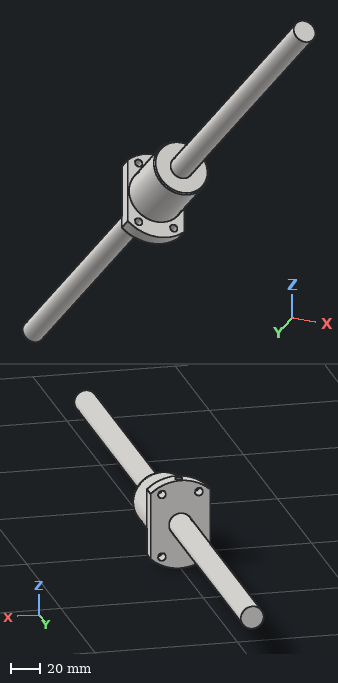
import cadquery as cq
import math

shaft_length = 489.0
shaft_diameter = 16.0

barrel_diameter = 40.0
barrel_chamfer = 1.0
nut_front_y = -22.5
nut_length = 56.0
flange_thickness = 11.0
flange_diameter = 63.0
flange_width = 42.0
nut_back_y = nut_front_y + nut_length
flange_front_y = nut_back_y - flange_thickness

bolt_circle_diameter = 52.0
bolt_hole_diameter = 5.5
bolt_angles = (60, 120, 240, 300)

oil_port_diameter = 5.0
oil_port_depth = 6.0
oil_passage_diameter = 2.0
oil_port_y = nut_back_y - flange_thickness / 2


def cylinder_along_y(diameter, start_y, length, x=0.0, z=0.0):
    """Cylinder that starts at start_y and runs toward +Y."""
    return cq.Workplane(
        cq.Solid.makeCylinder(
            diameter / 2, length, cq.Vector(x, start_y, z), cq.Vector(0, 1, 0)
        )
    )


def make_shaft():
    return cylinder_along_y(shaft_diameter, -shaft_length / 2, shaft_length)


def make_flange():
    """Disc cut by two flats parallel to Z."""
    disc = cylinder_along_y(flange_diameter, flange_front_y, flange_thickness)
    flats = cq.Workplane("XY").box(flange_width, flange_thickness, flange_diameter)
    flange_centre_y = flange_front_y + flange_thickness / 2
    return disc.intersect(flats.translate((0, flange_centre_y, 0)))


def make_bolt_hole(angle):
    x = bolt_circle_diameter / 2 * math.cos(math.radians(angle))
    z = bolt_circle_diameter / 2 * math.sin(math.radians(angle))
    return cylinder_along_y(bolt_hole_diameter, flange_front_y, flange_thickness, x, z)


def make_oil_port():
    """Wide port at the top, continued by the passage down to the nut axis."""
    flange_top_z = flange_diameter / 2
    port = cq.Solid.makeCylinder(
        oil_port_diameter / 2,
        oil_port_depth,
        cq.Vector(0, oil_port_y, flange_top_z - oil_port_depth),
    )
    passage = cq.Solid.makeCylinder(
        oil_passage_diameter / 2, flange_top_z, cq.Vector(0, oil_port_y, 0)
    )
    return cq.Workplane(port).union(cq.Workplane(passage))


def make_nut():
    barrel = cylinder_along_y(barrel_diameter, nut_front_y, nut_length)
    barrel = barrel.faces("<Y").chamfer(barrel_chamfer)
    nut = barrel.union(make_flange())
    for angle in bolt_angles:
        nut = nut.cut(make_bolt_hole(angle))
    nut = nut.cut(make_oil_port())
    shaft_bore = cylinder_along_y(shaft_diameter, nut_front_y, nut_length)
    return nut.cut(shaft_bore)


shaft = make_shaft()
nut = make_nut()

result = cq.Compound.makeCompound([shaft.val(), *nut.solids().vals()])